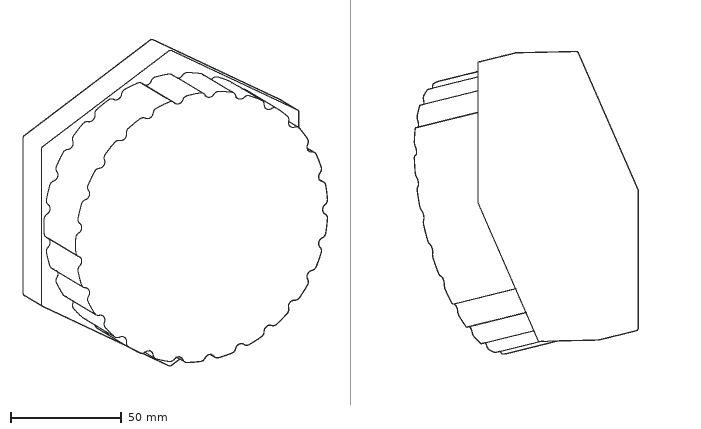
import cadquery as cq
import math

hexagon_sides = 6
across_flats = 130.0
head_thickness = 20.0
dome_height = 10.21
plug_length = 32.5
head_edge_radius = 1.3
flute_count = 25
flute_radius = 2.6
flute_lip_radius = 2.6
full_turn = 360.0

hexagon_corner_diameter = across_flats / math.cos(math.pi / hexagon_sides)
hexagon_corner_angle = 90.0
dome_rim_radius = across_flats / 2 - head_edge_radius
plug_radius = dome_rim_radius
dome_sphere_radius = (dome_rim_radius**2 + dome_height**2) / (2 * dome_height)
dome_mid_radius = dome_rim_radius / 2
dome_mid_drop = dome_sphere_radius - math.sqrt(dome_sphere_radius**2 - dome_mid_radius**2)

head_front_x = -head_thickness
dome_apex_x = head_front_x - dome_height

flute_pitch_angle = full_turn / flute_count
first_flute_angle = 180.0 + flute_pitch_angle / 2


def make_head():
    """Hexagonal plate with corners on +Z and -Z, rounded at its corners and front rim."""
    head = (
        cq.Workplane("YZ")
        .transformed(rotate=(0, 0, hexagon_corner_angle))
        .polygon(hexagon_sides, hexagon_corner_diameter)
        .extrude(-head_thickness)
    )
    head = head.edges("|X").fillet(head_edge_radius)
    return head.faces("<X").edges().fillet(head_edge_radius)


def make_dome():
    """Spherical cap standing on the front face of the head."""
    return (
        cq.Workplane("XY")
        .moveTo(dome_apex_x, 0)
        .threePointArc(
            (dome_apex_x + dome_mid_drop, dome_mid_radius),
            (head_front_x, dome_rim_radius),
        )
        .lineTo(head_front_x, 0)
        .close()
        .revolve(full_turn, (0, 0, 0), (1, 0, 0))
    )


def make_plug():
    """Cylinder with round flutes along its full length and rounded flute lips."""
    flutes = (
        cq.Workplane("YZ")
        .polarArray(plug_radius, first_flute_angle, full_turn, flute_count)
        .circle(flute_radius)
        .extrude(plug_length)
    )
    plug = cq.Workplane("YZ").circle(plug_radius).extrude(plug_length).cut(flutes)
    return plug.edges("|X").fillet(flute_lip_radius)


result = make_head().union(make_dome()).union(make_plug())